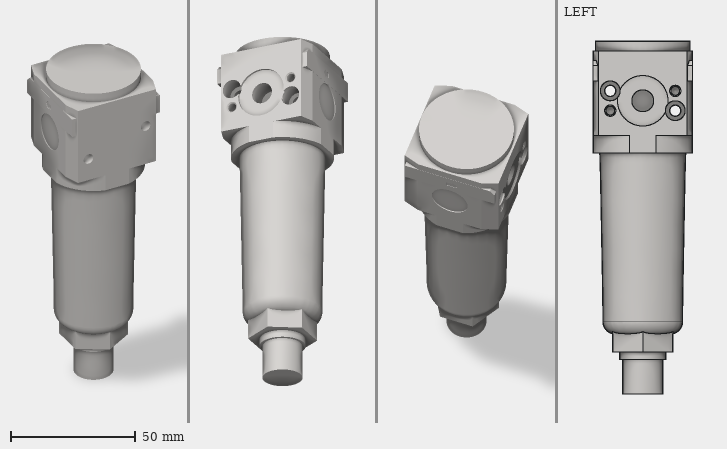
import cadquery as cq
import math

total_height = 142.0
cap_height = 4.0
body_bottom = 97.0
body_top = total_height - cap_height
skirt_height = 7.1

body_width = 40.0
half_width = body_width / 2
plate_rise = 0.07
half_depth = half_width - plate_rise
bevel_start_x = 13.5
bevel_end_y = 17.8
skirt_diameter = 41.5
cap_diameter = 38.2

bowl_top_radius = 17.3
bowl_bottom_radius = 16.0
bowl_fillet = 5.1
bowl_fillet_top = 29.3
bowl_bottom = bowl_fillet_top - bowl_fillet
hexagon_flats = 24.1
hexagon_bottom = 16.9
collar_diameter = 18.6
collar_bottom = 13.9
stem_diameter = 16.2

plate_length = 38.3
plate_height = 8.2
plate_bottom = 126.0
plate_thickness = 2.3
plate_corner = 2.0

arrow_length = 4.7
arrow_head_length = 2.3
arrow_head_width = 4.0
arrow_tail_width = 2.0
arrow_tip_x = -3.4
arrow_depth = 0.1

port_z = 118.0
gauge_recess_diameter = 15.3
gauge_recess_depth = 0.4
seal_recess_diameter = 20.3
seal_recess_depth = 1.0
port_diameter = 8.8
port_depth = 10.0
screw_offset_y = 13.0
screw_offset_z = 4.0
screw_hole_diameter = 4.4
counterbore_diameter = 8.0
counterbore_depth = 7.1
blind_hole_diameter = 3.5
blind_hole_depth = 10.0
countersink_diameter = 4.5
drill_point_angle = 118.0


def disc(diameter, bottom, top):
    """Vertical cylinder on the Z axis."""
    return cq.Workplane("XY").workplane(offset=bottom).circle(diameter / 2).extrude(top - bottom)


def side_hole(diameter, depth, y, z):
    """Cylinder running in +X from the -X face of the body."""
    return cq.Workplane("YZ", origin=(-half_width, y, z)).circle(diameter / 2).extrude(depth)


def countersunk_blind_hole(y, z):
    """Blind hole in the -X face with a 45 degree countersink and a conical drill point."""
    radius = blind_hole_diameter / 2
    mouth_radius = countersink_diameter / 2
    point_length = radius / math.tan(math.radians(drill_point_angle / 2))
    profile = [
        (0, 0),
        (0, mouth_radius),
        (mouth_radius - radius, radius),
        (blind_hole_depth, radius),
        (blind_hole_depth + point_length, 0),
    ]
    plane = cq.Workplane("XY", origin=(-half_width, y, z))
    return plane.polyline(profile).close().revolve(360, (0, 0, 0), (1, 0, 0))


def make_body():
    bevelled_outline = [
        (-half_width, -bevel_end_y),
        (-bevel_start_x, -half_depth),
        (bevel_start_x, -half_depth),
        (half_width, -bevel_end_y),
        (half_width, bevel_end_y),
        (bevel_start_x, half_depth),
        (-bevel_start_x, half_depth),
        (-half_width, bevel_end_y),
    ]
    block_bottom = body_bottom + skirt_height
    block = cq.Workplane("XY").workplane(offset=block_bottom).polyline(bevelled_outline).close()
    block = block.extrude(body_top - block_bottom)

    square = cq.Workplane("XY").workplane(offset=body_bottom).rect(body_width, 2 * half_depth)
    skirt = square.extrude(skirt_height).intersect(disc(skirt_diameter, body_bottom, block_bottom))

    return block.union(skirt).union(disc(cap_diameter, body_top, total_height))


def make_bowl():
    """Tapered bowl with a rounded lower rim."""
    diagonal = bowl_fillet * math.sqrt(0.5)
    fillet_centre_radius = bowl_bottom_radius - bowl_fillet
    profile = (
        cq.Workplane("XZ")
        .moveTo(0, body_bottom)
        .lineTo(bowl_top_radius, body_bottom)
        .lineTo(bowl_bottom_radius, bowl_fillet_top)
        .threePointArc(
            (fillet_centre_radius + diagonal, bowl_fillet_top - diagonal),
            (fillet_centre_radius, bowl_bottom),
        )
        .lineTo(0, bowl_bottom)
        .close()
    )
    return profile.revolve(360, (0, 0, 0), (0, 1, 0))


def make_drain():
    """Hexagon with corners on the X axis, above a collar and a plain stem."""
    corner_diameter = hexagon_flats / math.cos(math.radians(30))
    hexagon = cq.Workplane("XY").workplane(offset=hexagon_bottom).polygon(6, corner_diameter)
    hexagon = hexagon.extrude(bowl_fillet_top - hexagon_bottom)
    collar = disc(collar_diameter, collar_bottom, hexagon_bottom)
    stem = disc(stem_diameter, 0, collar_bottom)
    return hexagon.union(collar).union(stem)


def make_front_plate():
    """Label plate on the -Y face, with its upper -X corner cut off."""
    half_length = plate_length / 2
    plate_top = plate_bottom + plate_height
    outline = [
        (-half_length, plate_bottom),
        (half_length, plate_bottom),
        (half_length, plate_top),
        (-half_length + plate_corner, plate_top),
        (-half_length, plate_top - plate_corner),
    ]
    plane = cq.Workplane("XZ", origin=(0, -half_width + plate_thickness, 0))
    return plane.polyline(outline).close().extrude(plate_thickness)


def make_front_recesses():
    """Flow arrow pointing to -X and the round gauge recess in the -Y face."""
    arrow_z = plate_bottom + plate_height / 2
    neck_x = arrow_tip_x + arrow_head_length
    tail_x = arrow_tip_x + arrow_length
    outline = [
        (arrow_tip_x, arrow_z),
        (neck_x, arrow_z + arrow_head_width / 2),
        (neck_x, arrow_z + arrow_tail_width / 2),
        (tail_x, arrow_z + arrow_tail_width / 2),
        (tail_x, arrow_z - arrow_tail_width / 2),
        (neck_x, arrow_z - arrow_tail_width / 2),
        (neck_x, arrow_z - arrow_head_width / 2),
    ]
    arrow = cq.Workplane("XZ", origin=(0, -half_width, 0)).polyline(outline).close().extrude(-arrow_depth)
    gauge = cq.Workplane("XZ", origin=(0, -half_depth, port_z)).circle(gauge_recess_diameter / 2)
    return arrow.union(gauge.extrude(-gauge_recess_depth))


def make_side_holes():
    """Port, seal recess and two pairs of holes in the -X face."""
    holes = side_hole(seal_recess_diameter, seal_recess_depth, 0, port_z)
    holes = holes.union(side_hole(port_diameter, port_depth, 0, port_z))
    for side in (1, -1):
        y = side * screw_offset_y
        screw_z = port_z + side * screw_offset_z
        blind_z = port_z - side * screw_offset_z
        holes = holes.union(side_hole(screw_hole_diameter, body_width, y, screw_z))
        holes = holes.union(side_hole(counterbore_diameter, counterbore_depth, y, screw_z))
        holes = holes.union(countersunk_blind_hole(y, blind_z))
    return holes


front_plate = make_front_plate()
front_recesses = make_front_recesses()

result = make_body().union(make_bowl()).union(make_drain())
result = result.union(front_plate).union(front_plate.mirror("XZ"))
result = result.cut(front_recesses).cut(front_recesses.mirror("XZ"))
result = result.cut(make_side_holes())